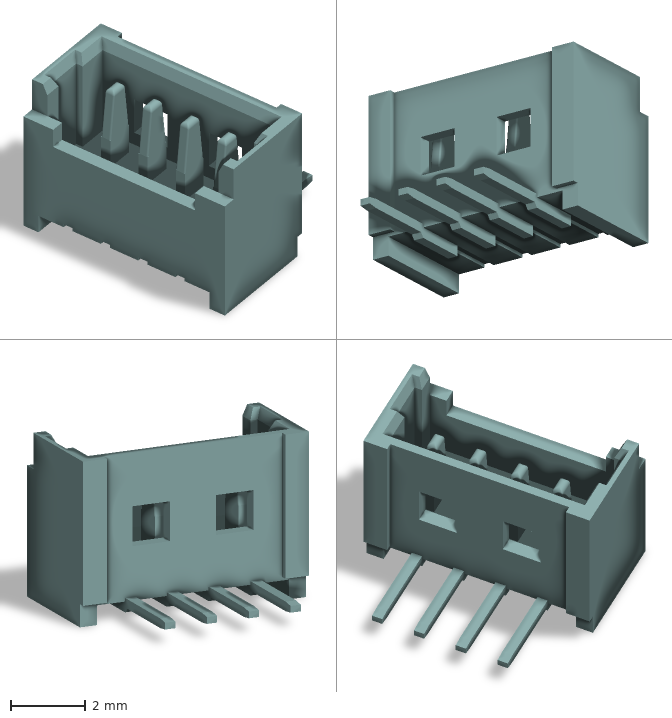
import cadquery as cq

WIDTH = 6.75
HEIGHT = 4.7
BODY_DEPTH = 3.3
EAR_PROJECTION = 0.2
EAR_WIDTH = 0.71

SIDE_WALL = 0.505
FRONT_WALL = 0.4
REAR_WALL = 0.4
FLOOR_Z = 1.675
RIM_FLARE = 0.15
RIM_DEPTH = 0.31
GROOVE_DEPTH = 0.215
GROOVE_FRONT_Y = 0.905
GROOVE_REAR_Y = 2.0

SHOULDER_DROP = 1.01
SHOULDER_WIDTH = 1.0
NOTCH_DEPTH = 0.58
WINDOW_SIZE = 1.12
WINDOW_BOTTOM_Z = 2.08
FOOT_HEIGHT = 0.555

PIN_COUNT = 4
PIN_PITCH = 1.25
PIN_THICKNESS = 0.305
PIN_BOTTOM_Z = 0.25
BLADE_FRONT_Y = 1.7
BLADE_WIDTH = 0.85
BLADE_TAPER_Z = 2.58
BLADE_TIP_Z = 4.105
BLADE_TAPER = 0.18
BLADE_EDGE_RADIUS = 0.05
LEG_TIP_Y = 5.8
LEG_TOP_Z = 0.655
LEG_BOTTOM_Z = 0.385
LEG_TIP_LENGTH = 0.305
LEG_TIP_TAPER = 0.04
HEEL_FRONT_Y = 3.295
HEEL_LENGTH = 0.11

CAVITY_HALF_WIDTH = WIDTH / 2 - SIDE_WALL
CAVITY_REAR_Y = BODY_DEPTH - REAR_WALL
SHOULDER_Z = HEIGHT - SHOULDER_DROP
NOTCH_Z = SHOULDER_Z - NOTCH_DEPTH
BLADE_REAR_Y = BLADE_FRONT_Y + BLADE_WIDTH
TIP_RADIUS = PIN_THICKNESS / 2
PIN_XS = [(i - (PIN_COUNT - 1) / 2) * PIN_PITCH for i in range(PIN_COUNT)]


def block(x_range, y_range, z_range):
    """Box spanning the given (low, high) range on each axis."""
    lows, highs = zip(x_range, y_range, z_range)
    sizes = [high - low for low, high in zip(lows, highs)]
    return cq.Workplane("XY").box(*sizes, centered=False).translate(lows)


def centred_block(width, y_range, z_range):
    """Box centred on X."""
    return block((-width / 2, width / 2), y_range, z_range)


def cavity_outline(flare):
    """Cavity plan with a keying groove in each side wall, widened by flare."""
    wall_x = CAVITY_HALF_WIDTH + flare
    groove_x = wall_x + GROOVE_DEPTH
    right_side = [
        (wall_x, FRONT_WALL),
        (wall_x, GROOVE_FRONT_Y - flare),
        (groove_x, GROOVE_FRONT_Y - flare),
        (groove_x, GROOVE_REAR_Y + flare),
        (wall_x, GROOVE_REAR_Y + flare),
        (wall_x, CAVITY_REAR_Y + flare),
    ]
    left_side = [(-x, y) for x, y in reversed(right_side)]
    return right_side + left_side


def make_cavity():
    """Straight-walled pocket down to the floor, topped by the flared rim."""
    rim_z = HEIGHT - RIM_DEPTH
    pocket = (
        cq.Workplane("XY", origin=(0, 0, FLOOR_Z))
        .polyline(cavity_outline(0)).close()
        .extrude(HEIGHT - FLOOR_Z)
    )
    rim = (
        cq.Workplane("XY", origin=(0, 0, rim_z))
        .polyline(cavity_outline(0)).close()
        .workplane(offset=RIM_DEPTH)
        .polyline(cavity_outline(RIM_FLARE)).close()
        .loft(ruled=True)
    )
    return pocket.union(rim)


def make_housing():
    """Open-topped shell with rear ears, corner feet and pin passages."""
    full_depth = (0, BODY_DEPTH)
    housing = centred_block(WIDTH, full_depth, (0, HEIGHT))

    ear_y = (BODY_DEPTH, BODY_DEPTH + EAR_PROJECTION)
    ear_z = (LEG_TOP_Z, HEIGHT)
    housing = housing.union(block((-WIDTH / 2, -WIDTH / 2 + EAR_WIDTH), ear_y, ear_z))
    housing = housing.union(block((WIDTH / 2 - EAR_WIDTH, WIDTH / 2), ear_y, ear_z))

    housing = housing.cut(make_cavity())

    front_y = (0, FRONT_WALL)
    housing = housing.cut(centred_block(WIDTH, front_y, (SHOULDER_Z, HEIGHT)))
    notch_width = WIDTH - 2 * SHOULDER_WIDTH
    housing = housing.cut(centred_block(notch_width, front_y, (NOTCH_Z, SHOULDER_Z)))

    window = centred_block(
        WINDOW_SIZE,
        (CAVITY_REAR_Y, BODY_DEPTH),
        (WINDOW_BOTTOM_Z, WINDOW_BOTTOM_Z + WINDOW_SIZE),
    )
    for x in (-PIN_PITCH, PIN_PITCH):
        housing = housing.cut(window.translate((x, 0, 0)))

    housing = housing.cut(centred_block(2 * CAVITY_HALF_WIDTH, full_depth, (0, FOOT_HEIGHT)))

    slot = centred_block(PIN_THICKNESS, full_depth, (0, LEG_TOP_Z))
    blade_hole = centred_block(PIN_THICKNESS, (BLADE_FRONT_Y, BLADE_REAR_Y), (LEG_TOP_Z, FLOOR_Z))
    for x in PIN_XS:
        housing = housing.cut(slot.translate((x, 0, 0)))
        housing = housing.cut(blade_hole.translate((x, 0, 0)))
    return housing


def make_blade():
    """Upright tapered blade with a tip rounded both ways and softened edges."""
    blade = (
        cq.Workplane("YZ")
        .polyline([
            (BLADE_FRONT_Y, BLADE_TAPER_Z),
            (BLADE_REAR_Y, BLADE_TAPER_Z),
            (BLADE_REAR_Y - BLADE_TAPER, BLADE_TIP_Z),
            (BLADE_FRONT_Y + BLADE_TAPER, BLADE_TIP_Z),
        ]).close()
        .extrude(PIN_THICKNESS / 2, both=True)
        .faces(">Z").edges("|X").fillet(TIP_RADIUS)
    )
    round_top = (
        cq.Workplane("XZ", origin=(0, BLADE_REAR_Y, 0))
        .moveTo(-TIP_RADIUS, BLADE_TAPER_Z)
        .lineTo(TIP_RADIUS, BLADE_TAPER_Z)
        .lineTo(TIP_RADIUS, BLADE_TIP_Z - TIP_RADIUS)
        .threePointArc((0, BLADE_TIP_Z), (-TIP_RADIUS, BLADE_TIP_Z - TIP_RADIUS))
        .close()
        .extrude(BLADE_WIDTH)
    )
    blade = blade.intersect(round_top)
    long_edges = [e for e in blade.edges("not(|X or |Y)").vals() if e.geomType() == "LINE"]
    return blade.newObject(long_edges).fillet(BLADE_EDGE_RADIUS)


def make_pin():
    """One pin at X = 0: blade, stem and rear leg in one piece."""
    stem_and_leg = (
        cq.Workplane("YZ")
        .polyline([
            (BLADE_FRONT_Y, BLADE_TAPER_Z),
            (BLADE_FRONT_Y, PIN_BOTTOM_Z),
            (HEEL_FRONT_Y, PIN_BOTTOM_Z),
            (HEEL_FRONT_Y + HEEL_LENGTH, LEG_BOTTOM_Z),
            (LEG_TIP_Y - LEG_TIP_LENGTH, LEG_BOTTOM_Z),
            (LEG_TIP_Y, LEG_BOTTOM_Z + LEG_TIP_TAPER),
            (LEG_TIP_Y, LEG_TOP_Z - LEG_TIP_TAPER),
            (LEG_TIP_Y - LEG_TIP_LENGTH, LEG_TOP_Z),
            (BLADE_REAR_Y, LEG_TOP_Z),
            (BLADE_REAR_Y, BLADE_TAPER_Z),
        ]).close()
        .extrude(PIN_THICKNESS / 2, both=True)
    )
    return stem_and_leg.union(make_blade())


housing = make_housing()
pin = make_pin()
pins = [pin.translate((x, 0, 0)) for x in PIN_XS]

result = cq.Compound.makeCompound([housing.val(), *[p.val() for p in pins]])